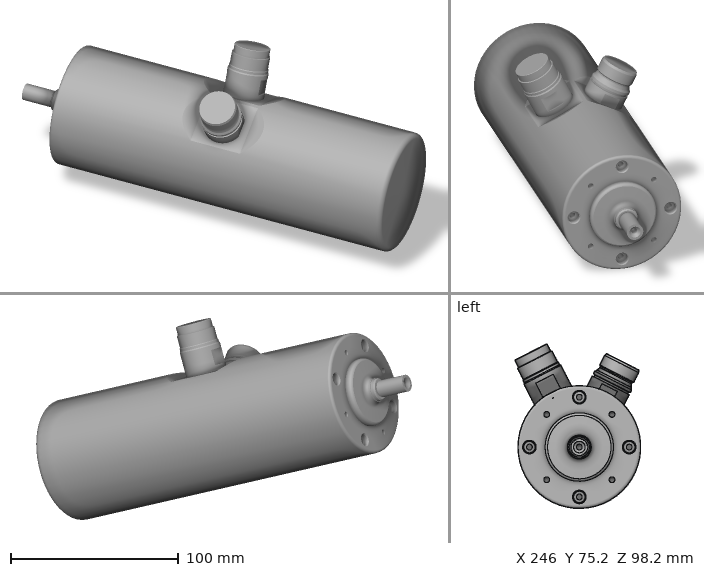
import cadquery as cq
import math


housing_radius = 36.7
housing_length = 214.5
front_edge_radius = 1.7
rear_edge_radius = 3.0
rear_cone_height = 1.0

flange_radius = 20.5
flange_rim_length = 2.2
flange_rim_round = 2.5
flange_face_radius = 19.0
flange_face_x = -4.5
flange_cone_height = 0.5

hub_radius = 7.1
hub_fillet = 2.7
hub_end_x = -8.5
collar_radius = 6.76
collar_end_x = -10.5
collar_tip_radius = 6.03
collar_tip_x = -11.3
groove_radius = 4.55
shaft_radius = 5.05
shaft_start_x = -12.0
shaft_end_x = -30.5
center_hole_diameter = 3.5
center_hole_depth = 7.5
center_hole_mouth_diameter = 7.0

screw_circle_radius = 29.8
screw_mouth_diameter = 8.0
screw_counterbore_diameter = 7.0
screw_counterbore_depth = 3.7
screw_hole_diameter = 3.5
screw_hole_depth = 9.8
tapped_circle_radius = 27.5
tapped_hole_diameter = 3.5
tapped_hole_depth = 7.5

connector_x = 104.5
connector_tilt = 27
seat_height = 33.2
seat_length = 32.0
seat_ramp_angle = 20
seat_cut_top = housing_radius + 2.5

connector_radius = 12.42
tall_flat_offset = 10.95
tall_flat_bottom = 36.5
tall_flat_top = 45.8
short_flat_offset = 11.3
short_flat_top = 39.9


def place_at_seat(shape, tilt):
    """Move a shape built upright around the Z axis to the connector position."""
    return shape.rotate((0, 0, 0), (1, 0, 0), tilt).translate((connector_x, 0, 0))


def make_motor_blank():
    """Housing, pilot flange, hub and shaft turned as one profile around X."""
    flange_cone_x = flange_face_x - flange_cone_height
    fillet_mid = hub_fillet * (1 - math.sqrt(0.5))
    return (
        cq.Workplane("XY")
        .moveTo(shaft_end_x, 0)
        .lineTo(shaft_end_x, shaft_radius)
        .lineTo(shaft_start_x, shaft_radius)
        .lineTo(shaft_start_x, groove_radius)
        .lineTo(collar_tip_x, groove_radius)
        .lineTo(collar_tip_x, collar_tip_radius)
        .lineTo(collar_end_x, collar_radius)
        .lineTo(hub_end_x, collar_radius)
        .lineTo(hub_end_x, hub_radius)
        .lineTo(flange_cone_x - hub_fillet, hub_radius)
        .threePointArc(
            (flange_cone_x - fillet_mid, hub_radius + fillet_mid),
            (flange_cone_x, hub_radius + hub_fillet),
        )
        .lineTo(flange_face_x, flange_face_radius)
        .radiusArc((-flange_rim_length, flange_radius), flange_rim_round)
        .lineTo(0, flange_radius)
        .lineTo(0, housing_radius - front_edge_radius)
        .radiusArc((front_edge_radius, housing_radius), front_edge_radius)
        .lineTo(housing_length - rear_edge_radius, housing_radius)
        .radiusArc((housing_length, housing_radius - rear_edge_radius), rear_edge_radius)
        .lineTo(housing_length + rear_cone_height, 0)
        .close()
        .revolve(360, (0, 0, 0), (1, 0, 0))
    )


def hole_along_x(start_x, diameter, depth):
    """Cylinder on the motor axis, running in +X."""
    return cq.Workplane("YZ", origin=(start_x, 0, 0)).circle(diameter / 2).extrude(depth)


def drilled_hole_along_x(start_x, diameter, depth):
    """Cylinder on the motor axis with a 90 degree drill point at its +X end."""
    point = countersink_along_x(start_x + depth, diameter, 0)
    return hole_along_x(start_x, diameter, depth).union(point)


def countersink_along_x(start_x, mouth_diameter, diameter):
    """45 degree cone narrowing from the mouth to the hole diameter, running in +X."""
    depth = (mouth_diameter - diameter) / 2
    cone = cq.Solid.makeCone(
        mouth_diameter / 2, diameter / 2, depth, cq.Vector(start_x, 0, 0), cq.Vector(1, 0, 0)
    )
    return cq.Workplane(obj=cone)


def cut_center_hole(motor):
    hole = drilled_hole_along_x(shaft_end_x, center_hole_diameter, center_hole_depth)
    mouth = countersink_along_x(shaft_end_x, center_hole_mouth_diameter, center_hole_diameter)
    return motor.cut(hole).cut(mouth)


def cut_face_holes(motor):
    """Four counterbored screw holes on the axes and four tapped holes between them."""
    screw_hole = (
        hole_along_x(0, screw_hole_diameter, screw_hole_depth)
        .union(hole_along_x(0, screw_counterbore_diameter, screw_counterbore_depth))
        .union(countersink_along_x(0, screw_mouth_diameter, screw_counterbore_diameter))
    )
    tapped_hole = drilled_hole_along_x(0, tapped_hole_diameter, tapped_hole_depth)
    for quarter in range(4):
        angle = 90 * quarter
        screw = screw_hole.translate((0, 0, screw_circle_radius))
        tapped = tapped_hole.translate((0, 0, tapped_circle_radius))
        motor = motor.cut(screw.rotate((0, 0, 0), (1, 0, 0), angle))
        motor = motor.cut(tapped.rotate((0, 0, 0), (1, 0, 0), angle + 45))
    return motor


def cut_connector_seats(motor):
    ramp_run = (seat_cut_top - seat_height) / math.tan(math.radians(seat_ramp_angle))
    seat = (
        cq.Workplane("XZ")
        .moveTo(-seat_length / 2, seat_height)
        .lineTo(seat_length / 2, seat_height)
        .lineTo(seat_length / 2 + ramp_run, seat_cut_top)
        .lineTo(-seat_length / 2 - ramp_run, seat_cut_top)
        .close()
        .extrude(housing_radius / 2, both=True)
    )
    for tilt in (-connector_tilt, connector_tilt):
        motor = motor.cut(place_at_seat(seat, tilt))
    return motor


def turn_connector(steps):
    """Upright turned body; steps lists (radius, height) along its outline above the seat."""
    top_height = steps[-1][1]
    outline = [(0, seat_height), (connector_radius, seat_height), *steps, (0, top_height)]
    return cq.Workplane("XZ").polyline(outline).close().revolve(360, (0, 0, 0), (0, 1, 0))


def cut_wrench_flats(connector, offset, bottom, top):
    """Two flats facing -X and +X at the given distance from the connector axis."""
    for side in (-1, 1):
        cutter = (
            cq.Workplane("XY")
            .box(connector_radius, 2 * connector_radius, top - bottom, centered=(True, True, False))
            .translate((side * (offset + connector_radius / 2), 0, bottom))
        )
        connector = connector.cut(cutter)
    return connector


def make_tall_connector():
    """Connector on the +Y side, stepping down to a plain end."""
    connector = turn_connector([
        (12.42, 48.5),
        (11.93, 49.2),
        (11.93, 50.7),
        (11.5, 51.2),
        (11.5, 58.5),
        (10.8, 58.8),
        (10.8, 63.5),
        (10.5, 63.7),
    ])
    connector = cut_wrench_flats(connector, tall_flat_offset, tall_flat_bottom, tall_flat_top)
    return place_at_seat(connector, -connector_tilt)


def make_short_connector():
    """Connector on the -Y side, with two collars and a necked end."""
    connector = turn_connector([
        (12.42, 41.3),
        (11.45, 41.3),
        (11.45, 42.5),
        (12.42, 42.8),
        (12.42, 44.5),
        (11.45, 45.8),
        (10.7, 47.7),
        (10.7, 48.5),
        (11.45, 49.2),
        (11.45, 55.5),
        (10.8, 57.0),
    ])
    connector = cut_wrench_flats(connector, short_flat_offset, seat_height, short_flat_top)
    return place_at_seat(connector, connector_tilt)


motor = cut_connector_seats(cut_face_holes(cut_center_hole(make_motor_blank())))
tall_connector = make_tall_connector()
short_connector = make_short_connector()

result = cq.Compound.makeCompound([motor.val(), tall_connector.val(), short_connector.val()])